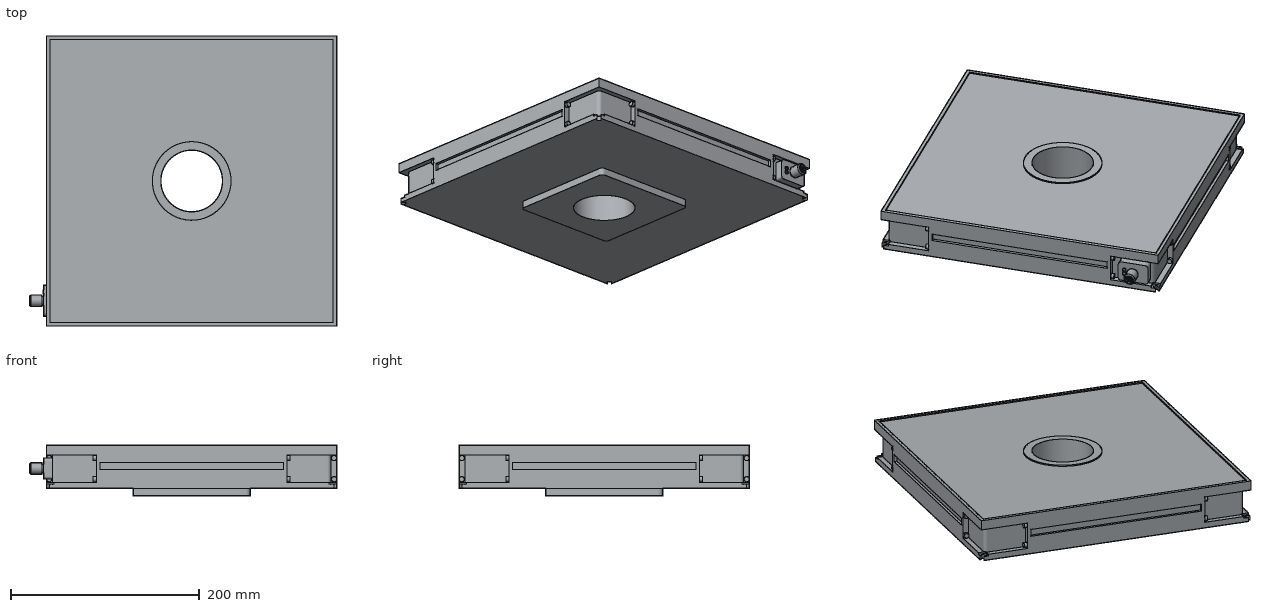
import cadquery as cq

overall_length = 326
body_side = 308.0
body_height = 46.0
half_side = body_side / 2

rim_width = 4.0
panel_drop = 1.3

bore_diameter = 65.2
tube_diameter = 83.5
plate_side = 124.5
plate_thickness = 7.8
plate_corner_radius = 4.2

recess_length = 52.8
recess_depth = 6.2
recess_bottom = 6.5
recess_top = 35.5
pillar_radius = 3.5
corner_pocket_side = 8.0
corner_pocket_depth = 2.0
corner_slot_width = 4.2
corner_slot_length = 7.2

screw_diameter = 5.5
screw_height = 3.3
screw_from_face = 3.0
screw_from_ledge = 3.3

groove_length = 194.2
groove_bottom = 20.0
groove_top = 27.7
groove_depth = 3.3

connector_y = -127
connector_z = 21.2
cover_length = 33.2
cover_height = 22.5
cover_top_radius = 4.0
cover_bottom_radius = 2.5
cover_protrusion = 3.0
neck_diameter = 9.5
neck_length = 2.0
plug_diameter = 12.5
plug_chamfer = 1.3
plug_end = half_side - overall_length
socket_diameter = 8.5
socket_depth = 3.3
pin_diameter = 1.5
pin_circle_diameter = 4.2
pin_count = 4
first_pin_angle = 45
lamp_diameter = 4.0
lamp_height = 1.0
lamp_offset = 9.8
lamp_y = connector_y + lamp_offset
lamp_spacing = 4.5


def block(x_range, y_range, z_range):
    """Box spanning the given lower and upper limits."""
    size = [upper - lower for lower, upper in (x_range, y_range, z_range)]
    corner = (x_range[0], y_range[0], z_range[0])
    return cq.Workplane("XY").box(*size, centered=False).translate(corner)


def x_cylinder(diameter, x_start, x_end, y, z):
    """Cylinder along X between two X positions."""
    disc = cq.Workplane("YZ", origin=(x_start, y, z)).circle(diameter / 2)
    return disc.extrude(x_end - x_start)


def on_four_sides(feature):
    """Union of a feature with its copies turned about Z by quarter turns."""
    copies = feature
    for turn in (90, 180, 270):
        copies = copies.union(feature.rotate((0, 0, 0), (0, 0, 1), turn))
    return copies


def corner_recess():
    """Cutter for the (-X, -Y) corner: recess around a rounded pillar, pocket and diagonal slot."""
    outer = (-half_side, -half_side + recess_length)
    z_range = (recess_bottom, recess_top)
    inner = (-half_side + recess_depth, outer[1])
    pillar = block(inner, inner, z_range).edges("|Z and <X and <Y").fillet(pillar_radius)
    recess = block(outer, outer, z_range).cut(pillar)

    pocket = (-half_side, -half_side + corner_pocket_side)
    recess = recess.union(block(pocket, pocket, (recess_bottom - corner_pocket_depth, recess_bottom)))

    slot = block(
        (-corner_slot_length, corner_slot_length),
        (-corner_slot_width / 2, corner_slot_width / 2),
        (0, recess_bottom),
    )
    slot = slot.rotate((0, 0, 0), (0, 0, 1), 45).translate((-half_side, -half_side, 0))
    return recess.union(slot)


def side_screws():
    """Four screw heads on the two recess end walls of the -X side."""
    wall_y = half_side - recess_length
    screw_x = -half_side + screw_from_face
    heights = (recess_bottom + screw_from_ledge, recess_top - screw_from_ledge)
    centres = [(screw_x, z) for z in heights]
    pair = cq.Workplane("XZ", origin=(0, -wall_y, 0)).pushPoints(centres)
    pair = pair.circle(screw_diameter / 2).extrude(screw_height)
    return pair.union(pair.mirror("XZ"))


def housing():
    body = cq.Workplane("XY").box(body_side, body_side, body_height, centered=(True, True, False))
    panel_side = body_side - 2 * rim_width
    body = body.faces(">Z").workplane().rect(panel_side, panel_side).cutBlind(-panel_drop)
    groove = block(
        (-half_side, -half_side + groove_depth),
        (-groove_length / 2, groove_length / 2),
        (groove_bottom, groove_top),
    )
    body = body.cut(on_four_sides(corner_recess())).cut(on_four_sides(groove))
    return body.union(on_four_sides(side_screws()))


def add_tube_and_plate(body):
    plate = cq.Workplane("XY").rect(plate_side, plate_side).extrude(-plate_thickness)
    plate = plate.edges("|Z").fillet(plate_corner_radius)
    tube = cq.Workplane("XY").circle(tube_diameter / 2).extrude(body_height)
    total_height = body_height + plate_thickness
    bore = cq.Workplane("XY", origin=(0, 0, -plate_thickness))
    bore = bore.circle(bore_diameter / 2).extrude(total_height)
    return body.union(plate).union(tube).cut(bore)


def connector():
    """Cover with a round plug, its pin socket and two small lamps."""
    cover_face = -half_side - cover_protrusion
    cover = cq.Workplane("YZ", origin=(cover_face, connector_y, connector_z))
    cover = cover.rect(cover_length, cover_height).extrude(cover_protrusion + recess_depth)
    cover = cover.edges("|X and >Z").fillet(cover_top_radius)
    cover = cover.edges("|X and <Z").fillet(cover_bottom_radius)

    plug_base = cover_face - neck_length
    neck = x_cylinder(neck_diameter, plug_base, cover_face, connector_y, connector_z)
    plug = x_cylinder(plug_diameter, plug_end, plug_base, connector_y, connector_z)
    plug = plug.faces("<X").chamfer(plug_chamfer)
    socket_floor = plug_end + socket_depth
    plug = plug.cut(x_cylinder(socket_diameter, plug_end, socket_floor, connector_y, connector_z))
    pins = cq.Workplane("YZ", origin=(plug_end, connector_y, connector_z))
    pins = pins.polarArray(pin_circle_diameter / 2, first_pin_angle, 360, pin_count)
    pins = pins.circle(pin_diameter / 2).extrude(socket_depth)

    assembly = cover.union(neck).union(plug).union(pins)
    for side in (-1, 1):
        lamp_z = connector_z + side * lamp_spacing / 2
        assembly = assembly.union(
            x_cylinder(lamp_diameter, cover_face - lamp_height, cover_face, lamp_y, lamp_z)
        )
    return assembly


result = add_tube_and_plate(housing()).union(connector())